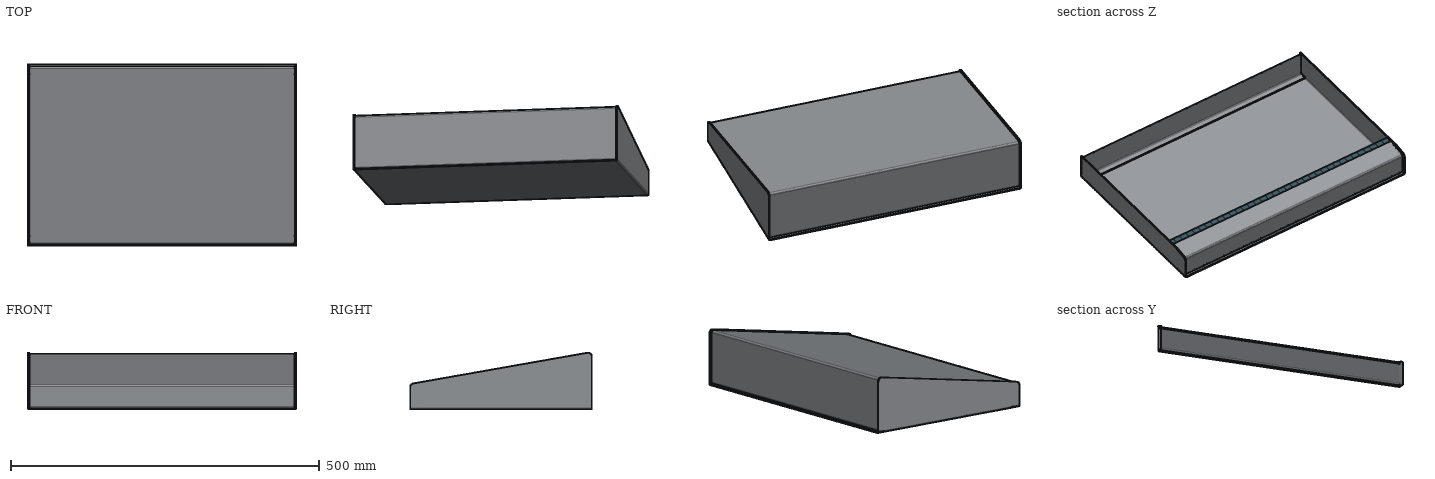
import cadquery as cq
import math

length = 435.0
depth = 295.0
height = 92.0
slope_angle = 10.0

sheet = 2.0
inner_bend = sheet / 2
outer_bend = inner_bend + sheet

side_corner_radius = 6.5

end_clearance = 0.25
wall_setback = 3.17
top_setback = 1.65
flange_width = 13.0
cover_length = length - 2 * (sheet + end_clearance)

slope = math.tan(math.radians(slope_angle))
secant = 1 / math.cos(math.radians(slope_angle))

sharp_rear_height = height + side_corner_radius * (slope + secant - 1)


def wedge(width, bottom, wall_inset, top_inset):
    """Sharp-edged wedge along X, set in from the side wall outline at front, rear and sloping top."""
    front = -depth / 2 + wall_inset
    rear = depth / 2 - wall_inset
    top_drop = top_inset * secant
    rear_top = sharp_rear_height - top_drop - slope * wall_inset
    front_top = sharp_rear_height - top_drop - slope * (depth - wall_inset)
    outline = [(front, bottom), (rear, bottom), (rear, rear_top), (front, front_top)]
    return cq.Workplane("YZ").polyline(outline).close().extrude(width / 2, both=True)


def trough(width, bottom, bend_radius):
    """Block along Y whose two lower long edges are rounded."""
    block = cq.Workplane("XY").box(width, depth, height, centered=(True, True, False))
    return block.edges("|Y and <Z").fillet(bend_radius).translate((0, 0, bottom))


def make_base_interior():
    """Space between the side walls, above the floor and its bends."""
    return trough(length - 2 * sheet, sheet, inner_bend)


def make_base():
    """Floor bent up into a sloping wall at each end."""
    channel = trough(length, 0, outer_bend).cut(make_base_interior())
    side_outline = wedge(length, 0, 0, 0).edges("|X and (not <Z)").fillet(side_corner_radius)
    return channel.intersect(side_outline)


def make_cover():
    """Sheet wrapped over the front, top and rear, with flanges turned in over the floor."""
    outer = wedge(cover_length, sheet, wall_setback, top_setback).edges("|X").fillet(outer_bend)
    inner = wedge(cover_length, 2 * sheet, wall_setback + sheet, top_setback + sheet)
    shell = outer.cut(inner.edges("|X").fillet(inner_bend))

    opening_depth = depth - 2 * (wall_setback + flange_width)
    opening = cq.Workplane("XY").box(cover_length, opening_depth, 4 * sheet)

    return shell.cut(opening).intersect(make_base_interior())


base = make_base()
cover = make_cover()

result = cq.Compound.makeCompound([base.solids().val(), cover.solids().val()])